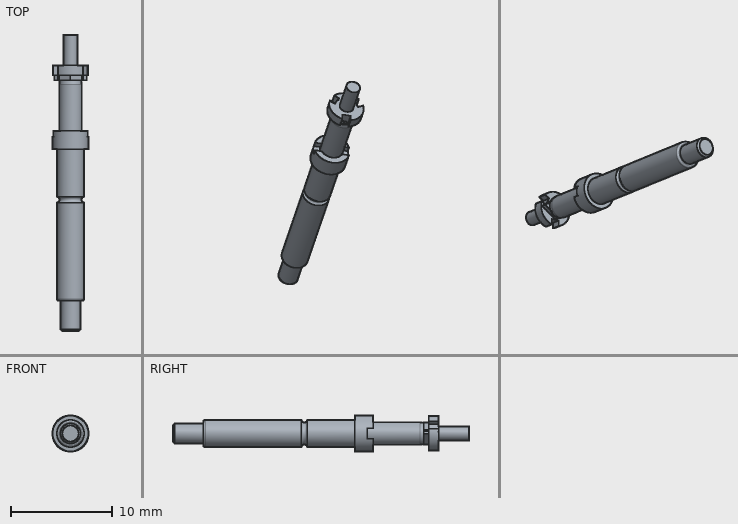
import cadquery as cq

total_length = 29.3
head_start = 3.0
neck_start = 4.0
neck_end = 4.5
barrel_start = 4.9
collar_start = 9.5
collar_end = 11.3
groove_station = 16.29
body_end = 26.3

tip_diameter = 1.4
head_diameter = 3.5
barrel_diameter = 2.26
collar_diameter = 3.6
body_diameter = 2.7
tail_diameter = 2.0

groove_half_width = 0.29
groove_depth = 0.25
body_end_round = 0.2
tail_chamfer = 0.2

neck_half_width = 1.63
neck_half_height = 1.1

slot_angles = (30, 150, 270)
slot_width = 0.85
slot_floor_distance = barrel_diameter / 2

barrel_lead_depth = 0.06

notch_width = 1.0
notch_depth = 0.55


def profile_plane(station):
    """Plane across the axis at a station; local x is +X, local y is +Z, extrusion runs to -Y."""
    return cq.Workplane("XZ", origin=(0, -station, 0))


def cylinder(diameter, start, end):
    return profile_plane(start).circle(diameter / 2).extrude(end - start)


def make_head_and_neck():
    head = cylinder(head_diameter, head_start, neck_start)
    neck = (
        profile_plane(neck_start)
        .moveTo(neck_half_width, 0)
        .lineTo(0, neck_half_height)
        .lineTo(-neck_half_width, 0)
        .lineTo(0, -neck_half_height)
        .close()
        .extrude(neck_end - neck_start)
    )
    slotted = head.union(neck)
    slot_length = head_diameter
    for angle in slot_angles:
        slot = (
            profile_plane(head_start)
            .transformed(rotate=(0, 0, angle))
            .center(slot_floor_distance + slot_length / 2, 0)
            .rect(slot_length, slot_width)
            .extrude(neck_end - head_start)
        )
        slotted = slotted.cut(slot)
    return slotted


def make_barrel():
    """Half profile turned about Y: plain barrel with a conical lead at its front."""
    radius = barrel_diameter / 2
    return (
        cq.Workplane("XY")
        .moveTo(0, -neck_end)
        .lineTo(0, -collar_end)
        .lineTo(radius, -collar_end)
        .lineTo(radius, -barrel_start)
        .lineTo(radius - barrel_lead_depth, -neck_end)
        .close()
        .revolve(360, (0, 0, 0), (0, 1, 0))
    )


def make_collar():
    collar = cylinder(collar_diameter, collar_start, collar_end)
    notch = (
        profile_plane(collar_start)
        .rect(2 * collar_diameter, notch_width)
        .extrude(notch_depth)
    )
    return collar.cut(notch)


def make_body():
    """Half profile turned about Y: body with groove and rounded end, then the chamfered tail."""
    radius = body_diameter / 2
    tail_radius = tail_diameter / 2
    return (
        cq.Workplane("XY")
        .moveTo(0, -collar_end)
        .lineTo(radius, -collar_end)
        .lineTo(radius, -(groove_station - groove_half_width))
        .threePointArc(
            (radius - groove_depth, -groove_station),
            (radius, -(groove_station + groove_half_width)),
        )
        .lineTo(radius, -(body_end - body_end_round))
        .tangentArcPoint((radius - body_end_round, -body_end), relative=False)
        .lineTo(tail_radius, -body_end)
        .lineTo(tail_radius, -(total_length - tail_chamfer))
        .lineTo(tail_radius - tail_chamfer, -total_length)
        .lineTo(0, -total_length)
        .close()
        .revolve(360, (0, 0, 0), (0, 1, 0))
    )


result = (
    cylinder(tip_diameter, 0, head_start)
    .union(make_head_and_neck())
    .union(make_barrel())
    .union(make_collar())
    .union(make_body())
)